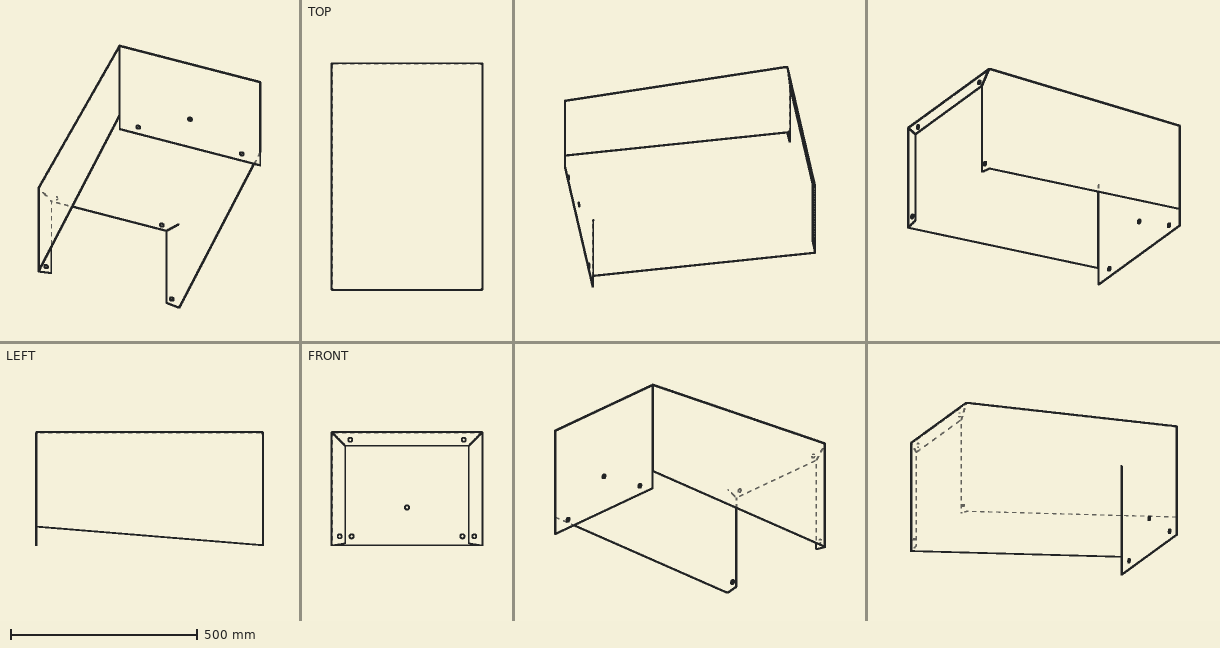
import cadquery as cq

WIDTH = 406.5
DEPTH = 609.5
HEIGHT = 305.0

SHEET = 2.0
BEND_RADIUS = 3.5
INNER_RADIUS = BEND_RADIUS - SHEET
CORNER_RELIEF = 1.5

SIDE_RISE = 50.0
FLANGE = 38.0
FLANGE_RISE = 5.5
FLANGE_CORNER_RADIUS = 3.0
MITRE_GAP = 1.0

HOLE_DIAMETER = 11.0
LOW_HOLE_HEIGHT = 24.5
SIDE_FLANGE_HOLE_X = WIDTH / 2 - 22.5
TOP_FLANGE_HOLE_X = 152.5
TOP_FLANGE_HOLE_HEIGHT = HEIGHT - 21.5
BACK_HOLE_X = 149.0
BACK_CENTRE_HOLE_HEIGHT = 102.0

HALF_WIDTH = WIDTH / 2
FRONT = -DEPTH / 2
BACK = DEPTH / 2
BACK_INNER = BACK - SHEET
FLANGE_REACH = 2 * BEND_RADIUS


def rounded_block(inset, radius):
    """Block inset from the outer faces, with the bent edges rounded."""
    block = cq.Workplane("XY").box(
        WIDTH - 2 * inset, DEPTH - 2 * inset, HEIGHT - inset, centered=(True, True, False)
    )
    return block.edges(">Z or (|Z and <Y)").fillet(radius)


def front_prism(points, start, end):
    """Prism with an XZ outline, running from Y = start to Y = end."""
    return cq.Workplane("XZ", origin=(0, start, 0)).polyline(points).close().extrude(start - end)


def front_opening():
    """Opening between the flanges, with rising lower edges on the side flanges."""
    free_x = HALF_WIDTH - FLANGE
    bend_x = HALF_WIDTH - BEND_RADIUS
    opening = front_prism(
        [
            (-bend_x, 0),
            (-free_x, FLANGE_RISE),
            (-free_x, HEIGHT - FLANGE),
            (free_x, HEIGHT - FLANGE),
            (free_x, FLANGE_RISE),
            (bend_x, 0),
        ],
        FRONT,
        FRONT + FLANGE_REACH,
    )
    lower_corners = cq.selectors.BoxSelector(
        (-HALF_WIDTH + BEND_RADIUS * 2, FRONT - 6, FLANGE_RISE / 2),
        (HALF_WIDTH - BEND_RADIUS * 2, BACK, 2 * FLANGE_RISE),
    )
    return opening.edges("|Y").edges(lower_corners).fillet(FLANGE_CORNER_RADIUS)


def mitre_slot(side):
    """45 degree slot between the top flange and one side flange."""
    half_gap = MITRE_GAP / 2 ** 0.5
    outer_x = side * (HALF_WIDTH - BEND_RADIUS)
    inner_x = side * (HALF_WIDTH - FLANGE - MITRE_GAP)
    outer_z = HEIGHT - BEND_RADIUS
    inner_z = HEIGHT - FLANGE - MITRE_GAP
    return front_prism(
        [
            (outer_x, outer_z + half_gap),
            (outer_x, outer_z - half_gap),
            (inner_x, inner_z - half_gap),
            (inner_x, inner_z + half_gap),
        ],
        FRONT,
        FRONT + FLANGE_REACH,
    )


def side_slope():
    """Wedge that leaves the sides sloping from the front foot up to the back."""
    return (
        cq.Workplane("YZ", origin=(-HALF_WIDTH, 0, 0))
        .polyline([(FRONT, 0), (BACK_INNER, 0), (BACK_INNER, SIDE_RISE)])
        .close()
        .extrude(WIDTH)
    )


def back_corner_relief(side):
    """Strip that keeps the back panel clear of one side wall's outer face."""
    centre = (side * (HALF_WIDTH - CORNER_RELIEF / 2), BACK - SHEET / 2, HEIGHT / 2)
    return cq.Workplane("XY").box(CORNER_RELIEF, SHEET, HEIGHT).translate(centre)


def holes(positions, start, length):
    """Round holes along +Y at the given X, Z positions."""
    return (
        cq.Workplane("XZ", origin=(0, start, 0))
        .pushPoints(positions)
        .circle(HOLE_DIAMETER / 2)
        .extrude(-length)
    )


result = rounded_block(0, BEND_RADIUS).cut(rounded_block(SHEET, INNER_RADIUS))
result = result.cut(front_opening()).cut(side_slope())

front_holes = []
back_holes = [(0, BACK_CENTRE_HOLE_HEIGHT)]
for side in (-1, 1):
    result = result.cut(mitre_slot(side)).cut(back_corner_relief(side))
    front_holes.append((side * SIDE_FLANGE_HOLE_X, LOW_HOLE_HEIGHT))
    front_holes.append((side * TOP_FLANGE_HOLE_X, TOP_FLANGE_HOLE_HEIGHT))
    back_holes.append((side * BACK_HOLE_X, LOW_HOLE_HEIGHT))

result = result.cut(holes(front_holes, FRONT, FLANGE_REACH))
result = result.cut(holes(back_holes, BACK_INNER, SHEET))